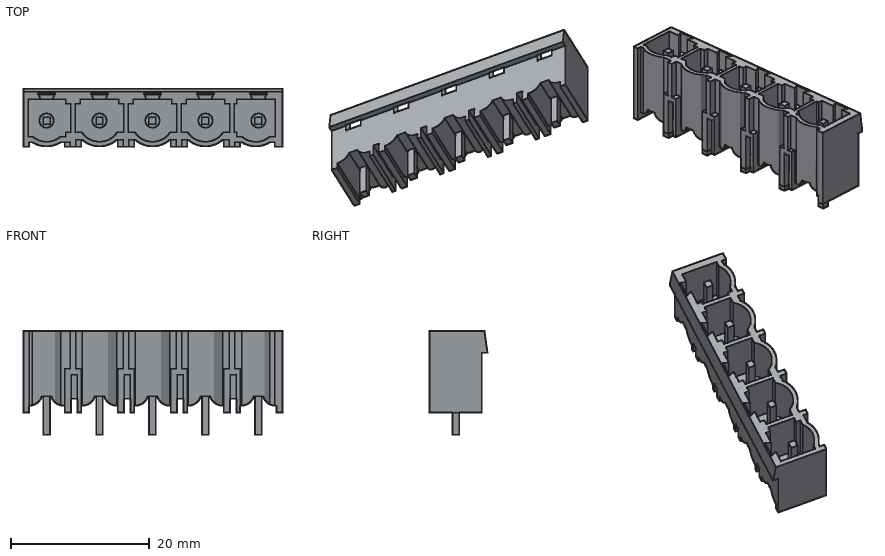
import cadquery as cq

LENGTH = 37.28
DEPTH = 8.4
HEIGHT = 14.95
BODY_BACK = 7.55
BODY_BOTTOM = 3.17

PIN_COUNT = 5
FIRST_PIN_X = 3.3
LAST_PIN_X = 33.8
PITCH = (LAST_PIN_X - FIRST_PIN_X) / (PIN_COUNT - 1)
PIN_Y = 3.8
PIN_WIDTH = 1.0
PIN_TOP = 13.98
PIN_XS = [FIRST_PIN_X + i * PITCH for i in range(PIN_COUNT)]
DIVIDER_XS = [x + PITCH / 2 for x in PIN_XS[:-1]]

FLOOR_TOP = 6.52
BOSS_DIAMETER = 2.05
BOSS_HEIGHT = 0.2
ROUND_WALL = 0.67
POCKET_RADIUS = 3.05
BULGE_RADIUS = POCKET_RADIUS + ROUND_WALL
POCKET_HALF_WIDTH = 3.5
POCKET_FRONT = 2.12
POCKET_BACK = 6.2
RECESS_HALF_WIDTH = 2.75
RECESS_BACK = 6.85
END_POCKET_FRONT = 1.45
LEFT_WALL = 0.67
RIGHT_WALL = 1.05
LAST_BULGE_SHIFT = 0.37
BULGE_XS = PIN_XS[:-1] + [LAST_PIN_X - LAST_BULGE_SHIFT]

WALL_FRONT = 1.0
END_WALL_FRONT = 0.67
LEFT_FLANGE = 0.82
RIGHT_FLANGE = 1.15
RIGHT_LEG = 0.9
RIB_WIDTH = 0.8
RIB_FOOT_WIDTH = 2.4
RIB_FOOT_TOP = 9.47
SLOT_WIDTH = 0.9
SLOT_OFFSET = 0.2
SLOT_TOP = 8.65

LIP_BOTTOM = 11.78
LIP_TOP_SETBACK = 0.45

DOVETAIL_BACK = 7.68
DOVETAIL_BACK_WIDTH = 2.42
DOVETAIL_MOUTH_WIDTH = 1.7
DOVETAIL_BOTTOM = 10.77

CELL_BOTTOM = 4.18
NOTCH_TOP = 5.5
LEG_GAP_TOP = 5.2
UNDERSIDE_RADIUS = 1.9
NOTCH_HALF_WIDTH = 0.67


def block(x_range, y_range, z_range):
    """Axis-aligned box between the given limits."""
    (x0, x1), (y0, y1), (z0, z1) = x_range, y_range, z_range
    return cq.Workplane("XY").box(x1 - x0, y1 - y0, z1 - z0, centered=False).translate((x0, y0, z0))


def front_bulge(x, radius, back, z_range):
    """Upright cylinder on the line of the pins, keeping only the segment in front of `back`."""
    bottom, top = z_range
    cylinder = cq.Workplane("XY", origin=(x, PIN_Y, bottom)).circle(radius).extrude(top - bottom)
    return cylinder.intersect(block((x - radius, x + radius), (0, back), z_range))


def lip():
    """Strip with a sloping back face along the upper back edge."""
    return (
        cq.Workplane("YZ")
        .moveTo(BODY_BACK, LIP_BOTTOM)
        .lineTo(DEPTH, LIP_BOTTOM)
        .lineTo(DEPTH - LIP_TOP_SETBACK, HEIGHT)
        .lineTo(BODY_BACK, HEIGHT)
        .close()
        .extrude(LENGTH)
    )


def outer_body():
    """Solid housing with bulging front walls, end flanges and ribs."""
    z_range = (BODY_BOTTOM, HEIGHT)
    body = block((0, LENGTH), (WALL_FRONT, BODY_BACK), z_range)
    body = body.union(block((0, DIVIDER_XS[0]), (END_WALL_FRONT, BODY_BACK), z_range))
    body = body.union(block((DIVIDER_XS[-1], LENGTH), (END_WALL_FRONT, BODY_BACK), z_range))
    body = body.union(block((0, LEFT_FLANGE), (0, BODY_BACK), z_range))
    body = body.union(block((LENGTH - RIGHT_FLANGE, LENGTH), (0, BODY_BACK), z_range))
    for x in BULGE_XS:
        body = body.union(front_bulge(x, BULGE_RADIUS, WALL_FRONT, z_range))
    for x in DIVIDER_XS:
        body = body.union(block((x - RIB_WIDTH / 2, x + RIB_WIDTH / 2), (0, BODY_BACK), z_range))
        foot_x = (x - RIB_FOOT_WIDTH / 2, x + RIB_FOOT_WIDTH / 2)
        body = body.union(block(foot_x, (0, BODY_BACK), (BODY_BOTTOM, RIB_FOOT_TOP)))
    return body.union(lip())


def pocket(index):
    """Space above the floor of one cell, with the boss around the pin left standing."""
    pin_x = PIN_XS[index]
    bulge_x = BULGE_XS[index]
    z_range = (FLOOR_TOP, HEIGHT)
    left, right = pin_x - POCKET_HALF_WIDTH, pin_x + POCKET_HALF_WIDTH
    recess_left, recess_right = bulge_x - RECESS_HALF_WIDTH, bulge_x + RECESS_HALF_WIDTH
    recess_front = PIN_Y
    if index == 0:
        left = recess_left = LEFT_WALL
        recess_front = END_POCKET_FRONT
    if index == PIN_COUNT - 1:
        right = recess_right = LENGTH - RIGHT_WALL
        recess_front = END_POCKET_FRONT
    space = block((left, right), (POCKET_FRONT, POCKET_BACK), z_range)
    space = space.union(block((recess_left, recess_right), (recess_front, RECESS_BACK), z_range))
    space = space.union(front_bulge(bulge_x, POCKET_RADIUS, POCKET_FRONT, z_range))
    floor = cq.Workplane("XY", origin=(pin_x, PIN_Y, FLOOR_TOP))
    boss = floor.circle(BOSS_DIAMETER / 2).extrude(BOSS_HEIGHT)
    return space.cut(boss)


def dovetail(x):
    """Groove through the back wall, closed behind by the lip and open just below it."""
    return (
        cq.Workplane("XY", origin=(x, 0, DOVETAIL_BOTTOM))
        .moveTo(-DOVETAIL_BACK_WIDTH / 2, DOVETAIL_BACK)
        .lineTo(DOVETAIL_BACK_WIDTH / 2, DOVETAIL_BACK)
        .lineTo(DOVETAIL_MOUTH_WIDTH / 2, RECESS_BACK)
        .lineTo(-DOVETAIL_MOUTH_WIDTH / 2, RECESS_BACK)
        .close()
        .extrude(HEIGHT - DOVETAIL_BOTTOM)
    )


def underside(index):
    """Clearance below one cell between its two legs, rounded up to a flat above the pin tail."""
    x = PIN_XS[index]
    left = LEFT_FLANGE if index == 0 else DIVIDER_XS[index - 1] + RIB_FOOT_WIDTH / 2
    right = LENGTH - RIGHT_LEG if index == PIN_COUNT - 1 else DIVIDER_XS[index] - RIB_FOOT_WIDTH / 2
    arc_z = CELL_BOTTOM + UNDERSIDE_RADIUS
    arc_offset = NOTCH_HALF_WIDTH + (UNDERSIDE_RADIUS**2 - (arc_z - NOTCH_TOP) ** 2) ** 0.5
    space = block((left, right), (0, BODY_BACK), (BODY_BOTTOM, CELL_BOTTOM))
    arch = block((x - arc_offset, x + arc_offset), (0, BODY_BACK), (CELL_BOTTOM, NOTCH_TOP))
    for side in (-1, 1):
        roll = (
            cq.Workplane("XZ", origin=(x + side * arc_offset, 0, arc_z))
            .circle(UNDERSIDE_RADIUS)
            .extrude(-BODY_BACK)
        )
        arch = arch.cut(roll)
    return space.union(arch)


def leg_gap(x):
    """Slot in the front of a rib foot, and the gap running back between its two legs."""
    slot_x = (x + SLOT_OFFSET - SLOT_WIDTH / 2, x + SLOT_OFFSET + SLOT_WIDTH / 2)
    slot = block(slot_x, (0, WALL_FRONT), (BODY_BOTTOM, SLOT_TOP))
    return slot.union(block(slot_x, (0, BODY_BACK), (BODY_BOTTOM, LEG_GAP_TOP)))


def make_pin(x):
    """Square contact pin standing in the floor of a pocket."""
    half = PIN_WIDTH / 2
    return block((x - half, x + half), (PIN_Y - half, PIN_Y + half), (0, PIN_TOP))


def make_housing(pins):
    """Housing with all its openings, including a fitting hole for each pin."""
    body = outer_body()
    for index in range(PIN_COUNT):
        body = body.cut(pocket(index)).cut(dovetail(PIN_XS[index])).cut(underside(index))
    for x in DIVIDER_XS:
        body = body.cut(leg_gap(x))
    for pin in pins:
        body = body.cut(pin)
    return body


pins = [make_pin(x) for x in PIN_XS]
housing = make_housing(pins)
result = cq.Compound.makeCompound([housing.val(), *[pin.val() for pin in pins]])